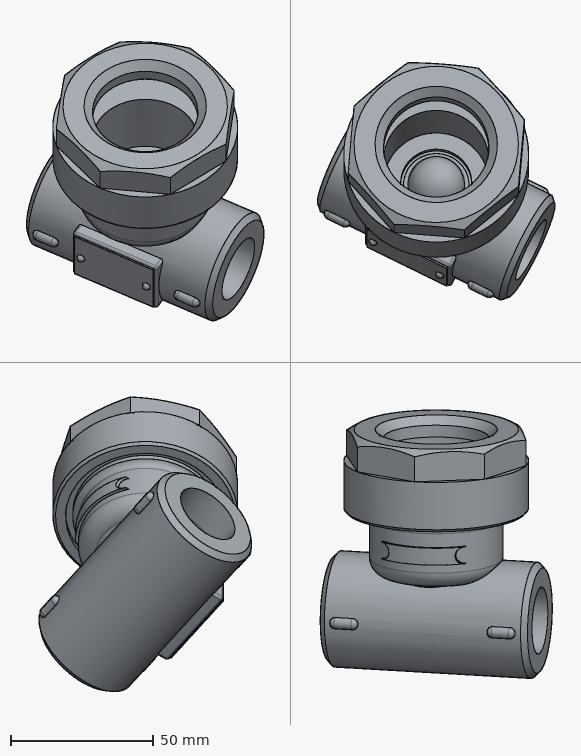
import cadquery as cq
import math

total_height = 87.5

pipe_length = 75.0
pipe_dia = 41.0
pipe_chamfer = 2.0
pipe_axis_z = pipe_dia / 2
socket_mouth_dia = 23.5
socket_inner_dia = 22.7
socket_taper_depth = 12.5
socket_depth = 17.5

neck_dia = 47.0
neck_fillet = 3.0
bowl_round = 6.1
bowl_round_top_z = 41.3
stem_dia = 29.6
neck_top_z = 55.6
relief_dia = 51.0
head_dia = 56.0
head_bottom_z = 60.4
head_top_z = 69.3

chamber_dia = 37.0
chamber_floor_z = 43.75
seat_dia = 25.0
seat_depth = 2.0
bead_outer_dia = 23.0
dome_dia = 19.9
dome_root_depth = 1.75

pad_half_width = 15.05
pad_height = 6.1
pad_center_z = 47.5
pad_rise = 1.05

boss_width = 33.95
boss_height = 22.05
boss_front = 22.0
boss_round = 1.0
plate_width = 31.6
plate_height = 20.1
plate_thickness = 0.6
rivet_radius = 1.5
rivet_offset = 13.2

rib_radius = 2.0
rib_inner_x = 25.4
rib_outer_x = 31.5

nut_dia = 65.0
nut_sides = 8
nut_bottom_z = 58.3
nut_bottom_chamfer = 1.0
octagon_bottom_z = 76.4
nut_top_dia = 57.75
nut_crown_angle = 30.0
nut_hole_dia = chamber_dia
nut_hole_chamfer = 3.0
nut_lip_bottom_z = 80.2


def disc(diameter, bottom_z, top_z):
    """Vertical cylinder on the Z axis."""
    return cq.Workplane("XY").workplane(offset=bottom_z).circle(diameter / 2).extrude(top_z - bottom_z)


def make_pipe():
    return (
        cq.Workplane("YZ", origin=(-pipe_length / 2, 0, pipe_axis_z))
        .circle(pipe_dia / 2)
        .extrude(pipe_length)
        .faces("<X or >X")
        .chamfer(pipe_chamfer)
    )


def make_neck():
    """Revolved stem, rounded bowl, neck, thread relief and threaded head."""
    neck_r = neck_dia / 2
    stem_r = stem_dia / 2
    relief_r = relief_dia / 2
    diagonal = math.sqrt(0.5)
    bowl_bottom_z = bowl_round_top_z - bowl_round
    bowl_mid = (
        neck_r - bowl_round * (1 - diagonal),
        bowl_round_top_z - bowl_round * diagonal,
    )
    stem_fillet_mid = (
        stem_r + neck_fillet * (1 - diagonal),
        bowl_bottom_z - neck_fillet * (1 - diagonal),
    )

    flare_angle = math.acos(1 - (relief_r - neck_r) / neck_fillet)

    def flare_point(angle):
        return (
            neck_r + neck_fillet * (1 - math.cos(angle)),
            neck_top_z + neck_fillet * math.sin(angle),
        )

    return (
        cq.Workplane("XZ")
        .moveTo(0, pipe_axis_z)
        .lineTo(stem_r, pipe_axis_z)
        .lineTo(stem_r, bowl_bottom_z - neck_fillet)
        .threePointArc(stem_fillet_mid, (stem_r + neck_fillet, bowl_bottom_z))
        .threePointArc(bowl_mid, (neck_r, bowl_round_top_z))
        .lineTo(neck_r, neck_top_z)
        .threePointArc(flare_point(flare_angle / 2), flare_point(flare_angle))
        .lineTo(relief_r, head_bottom_z)
        .lineTo(head_dia / 2, head_bottom_z)
        .lineTo(head_dia / 2, head_top_z)
        .lineTo(0, head_top_z)
        .close()
        .revolve(360, (0, 0, 0), (0, 1, 0))
    )


def make_back_pad():
    """Curved pad that follows the +Y side of the neck."""
    notch_radius = pad_height / 2
    outline = (
        cq.Workplane("XZ", origin=(0, 0, pad_center_z))
        .rect(2 * pad_half_width, pad_height)
        .extrude(-neck_dia)
    )
    notches = (
        cq.Workplane("XZ", origin=(0, 0, pad_center_z))
        .pushPoints([(-pad_half_width, 0), (pad_half_width, 0)])
        .circle(notch_radius)
        .extrude(-neck_dia)
    )
    band = disc(neck_dia + 2 * pad_rise, pad_center_z - pad_height, pad_center_z + pad_height)
    return band.intersect(outline.cut(notches))


def make_nameplate():
    """Rounded boss with a thin plate and two round-headed rivets, on the -Y side."""
    boss = (
        cq.Workplane("XZ", origin=(0, 0, pipe_axis_z))
        .rect(boss_width, boss_height)
        .extrude(boss_front)
        .edges("|Y or <Y")
        .fillet(boss_round)
    )
    plate_front = boss_front + plate_thickness
    plate = (
        cq.Workplane("XZ", origin=(0, 0, pipe_axis_z))
        .rect(plate_width, plate_height)
        .extrude(plate_front)
    )
    rivets = (
        cq.Workplane("XZ", origin=(0, -plate_front, pipe_axis_z))
        .pushPoints([(-rivet_offset, 0), (rivet_offset, 0)])
        .sphere(rivet_radius)
    )
    return boss.union(plate).union(rivets)


def make_rib(x_side, y_side):
    """Half-buried capsule lying along the pipe."""
    rib_y = y_side * pipe_dia / 2
    rib = cq.Workplane("YZ", origin=(x_side * rib_inner_x, rib_y, pipe_axis_z))
    rib = rib.circle(rib_radius).extrude(x_side * (rib_outer_x - rib_inner_x))
    for end_x in (rib_inner_x, rib_outer_x):
        end = cq.Workplane("XY", origin=(x_side * end_x, rib_y, pipe_axis_z)).sphere(rib_radius)
        rib = rib.union(end)
    return rib


def make_socket():
    """Blind socket at the -X end: a slight taper followed by a straight bore."""
    return (
        cq.Workplane("XY")
        .moveTo(0, 0)
        .lineTo(0, socket_mouth_dia / 2)
        .lineTo(socket_taper_depth, socket_inner_dia / 2)
        .lineTo(socket_depth, socket_inner_dia / 2)
        .lineTo(socket_depth, 0)
        .close()
        .revolve(360, (0, 0, 0), (1, 0, 0))
        .translate((-pipe_length / 2, 0, pipe_axis_z))
    )


def make_dome():
    """Half-ball in the seat, with a half-round bead around its foot, on a root sunk into the floor."""
    seat_z = chamber_floor_z - seat_depth
    dome_r = dome_dia / 2
    bead_outer_r = bead_outer_dia / 2
    bead_r = (bead_outer_r - dome_r) / 2
    diagonal = dome_r * math.sqrt(0.5)
    return (
        cq.Workplane("XZ")
        .moveTo(0, seat_z - dome_root_depth)
        .lineTo(bead_outer_r, seat_z - dome_root_depth)
        .lineTo(bead_outer_r, seat_z)
        .threePointArc((dome_r + bead_r, seat_z + bead_r), (dome_r, seat_z))
        .threePointArc((diagonal, seat_z + diagonal), (0, seat_z + dome_r))
        .close()
        .revolve(360, (0, 0, 0), (0, 1, 0))
    )


def make_housing():
    housing = make_pipe().union(make_neck()).union(make_back_pad()).union(make_nameplate())
    for x_side in (-1, 1):
        for y_side in (-1, 1):
            housing = housing.union(make_rib(x_side, y_side))
    socket = make_socket()
    housing = housing.cut(socket).cut(socket.mirror("YZ"))
    housing = housing.cut(disc(chamber_dia, chamber_floor_z, head_top_z))
    housing = housing.cut(disc(seat_dia, chamber_floor_z - seat_depth, chamber_floor_z))
    return housing.union(make_dome())


def make_nut():
    skirt = disc(nut_dia, nut_bottom_z, octagon_bottom_z).faces("<Z").chamfer(nut_bottom_chamfer)
    octagon = (
        cq.Workplane("XY")
        .workplane(offset=octagon_bottom_z)
        .polygon(nut_sides, nut_dia)
        .extrude(total_height - octagon_bottom_z)
    )

    crown_drop = (nut_dia - nut_top_dia) / 2 * math.tan(math.radians(nut_crown_angle))
    crown = (
        cq.Workplane("XZ")
        .moveTo(0, octagon_bottom_z)
        .lineTo(nut_dia / 2, octagon_bottom_z)
        .lineTo(nut_dia / 2, total_height - crown_drop)
        .lineTo(nut_top_dia / 2, total_height)
        .lineTo(0, total_height)
        .close()
        .revolve(360, (0, 0, 0), (0, 1, 0))
    )
    nut = skirt.union(octagon.intersect(crown))

    nut = nut.cut(disc(head_dia, nut_bottom_z, nut_lip_bottom_z))
    hole = disc(nut_hole_dia, nut_lip_bottom_z, total_height)
    hole_chamfer = cq.Workplane(
        cq.Solid.makeCone(
            nut_hole_dia / 2,
            nut_hole_dia / 2 + nut_hole_chamfer,
            nut_hole_chamfer,
            pnt=cq.Vector(0, 0, total_height - nut_hole_chamfer),
        )
    )
    return nut.cut(hole).cut(hole_chamfer)


housing = make_housing()
nut = make_nut()

result = cq.Compound.makeCompound([housing.solids().val(), nut.solids().val()])